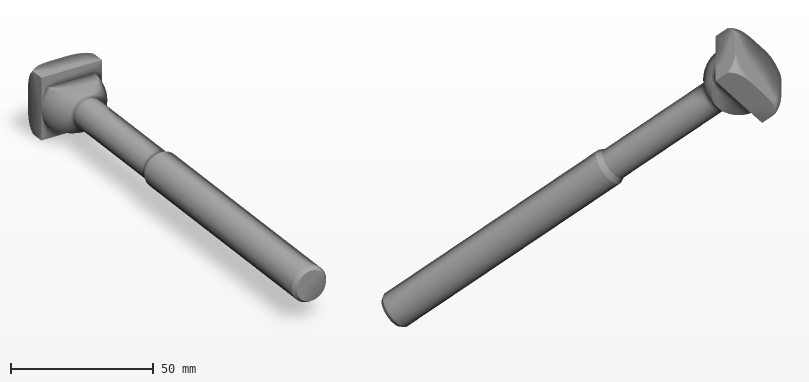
import cadquery as cq
import math

length = 169.0
head_width = 25.0
head_thickness = 9.0
head_rounding = 5.5
neck_height = 15.9
shank_diameter = 12.0
thread_diameter = 14.0
thread_length = 100.0
taper_length = 2.2
tip_chamfer_length = 1.5
tip_chamfer_depth = 1.0

head_radius = head_width / 2
shank_radius = shank_diameter / 2
thread_radius = thread_diameter / 2
thread_start = length - thread_length


def revolve_about_x(profile):
    return profile.close().revolve(360, (0, 0, 0), (1, 0, 0))


def make_head():
    """Square head whose front corners are rounded about the bolt axis."""
    block = cq.Workplane("XY").box(
        head_thickness, head_width, head_width, centered=(False, True, True)
    )
    rounded_disc = (
        cq.Workplane("YZ")
        .circle(head_radius + head_rounding)
        .extrude(head_thickness)
        .faces("<X")
        .edges()
        .fillet(head_rounding)
    )
    return block.intersect(rounded_disc)


def make_neck():
    """Half ball behind the head, cut flat above and below."""
    neck_length = math.sqrt(head_radius**2 - shank_radius**2)
    arc_middle = head_radius * math.sqrt(0.5)
    ball = revolve_about_x(
        cq.Workplane("XY")
        .moveTo(head_thickness, 0)
        .lineTo(head_thickness, head_radius)
        .threePointArc(
            (head_thickness + arc_middle, arc_middle),
            (head_thickness + neck_length, shank_radius),
        )
        .lineTo(head_thickness + neck_length, 0)
    )
    slab = (
        cq.Workplane("XY")
        .box(neck_length, head_width, neck_height, centered=(False, True, True))
        .translate((head_thickness, 0, 0))
    )
    return ball.intersect(slab)


def make_rod():
    """Plain shank, taper and thicker threaded length with a chamfered tip."""
    return revolve_about_x(
        cq.Workplane("XY")
        .moveTo(head_thickness, 0)
        .lineTo(head_thickness, shank_radius)
        .lineTo(thread_start - taper_length, shank_radius)
        .lineTo(thread_start, thread_radius)
        .lineTo(length - tip_chamfer_length, thread_radius)
        .lineTo(length, thread_radius - tip_chamfer_depth)
        .lineTo(length, 0)
    )


result = make_head().union(make_neck()).union(make_rod())